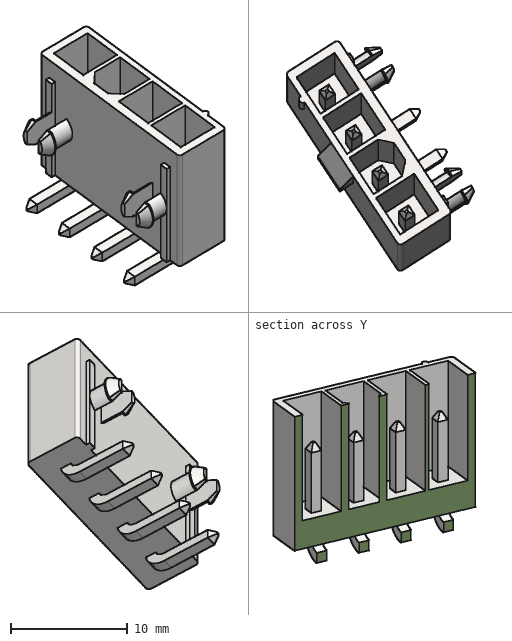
import cadquery as cq
import math

OVERALL_HEIGHT = 14.4
BODY_WIDTH = 18.0
BODY_DEPTH = 5.4
BODY_HEIGHT = 12.73
CORNER_RADIUS = 0.35
BACK_Y = BODY_DEPTH / 2
MOUNT_Y = -BODY_DEPTH / 2

PIN_COUNT = 4
PIN_PITCH = 4.2
PIN_X = [(i - (PIN_COUNT - 1) / 2) * PIN_PITCH for i in range(PIN_COUNT)]
PIN_SIZE = 1.0
PIN_TIP_SIZE = 0.25
PIN_TIP_LENGTH = 0.7
PIN_Y = BACK_Y - 2.52
PIN_TOP_DEPTH = 3.6
PIN_DROP = OVERALL_HEIGHT - BODY_HEIGHT
PIN_REACH = 3.89
BEND_RADIUS = 1.5

CAVITY_WIDTH = 3.8
CAVITY_LENGTH = 3.9
CAVITY_BACK_WALL = 0.61
CAVITY_DEPTH = 10.0
KEYED_CAVITY = 1
KEY_CHAMFER = 0.99

PEG_X = [PIN_X[0], PIN_X[-1]]
PEG_Z = BODY_HEIGHT - 6.57
PEG_RADIUS = 1.5
PEG_SHAFT_LENGTH = 2.15
PEG_SLOT = 1.48
HEAD_RADIUS = 1.78
HEAD_LIP = 0.13
HEAD_TAPER_LENGTH = 0.97
HEAD_TAPER_INSET = 0.58
HEAD_HALF_HEIGHT = math.sqrt(PEG_RADIUS**2 - (PEG_SLOT / 2) ** 2)
HEAD_TIP_Y = MOUNT_Y - PEG_SHAFT_LENGTH - HEAD_LIP - HEAD_TAPER_LENGTH

RIB_WIDTH = PEG_RADIUS - PEG_SLOT / 2
RIB_THICKNESS = 0.4
RIB_HEIGHT = BODY_HEIGHT - 2.02
RIB_X = PEG_X[-1] + PEG_SLOT / 2 + RIB_WIDTH / 2

LATCH_WIDTH = 3.5
LATCH_REACH = 1.4
LATCH_RAMP_DROP = 2.12
LATCH_ROOT_DROP = 3.05
LATCH_TIP_DROP = 3.13
BEAD_RADIUS = 0.3
BEAD_LENGTH = LATCH_TIP_DROP

EMBED = 0.18


def make_housing():
    body = cq.Workplane("XY").box(BODY_WIDTH, BODY_DEPTH, BODY_HEIGHT, centered=(True, True, False))
    body = body.edges("|Z").fillet(CORNER_RADIUS)
    cavity_y = BACK_Y - CAVITY_BACK_WALL - CAVITY_LENGTH / 2
    for index, x in enumerate(PIN_X):
        cavity = (
            cq.Workplane("XY", origin=(x, cavity_y, BODY_HEIGHT - CAVITY_DEPTH))
            .rect(CAVITY_WIDTH, CAVITY_LENGTH)
            .extrude(CAVITY_DEPTH)
        )
        if index == KEYED_CAVITY:
            cavity = cavity.edges("|Z and <Y").chamfer(KEY_CHAMFER)
        body = body.cut(cavity)
    return body


def make_pin_tip(plane):
    """Blunt square pyramid rising along the plane normal."""
    return (
        cq.Workplane(plane)
        .rect(PIN_SIZE, PIN_SIZE)
        .workplane(offset=PIN_TIP_LENGTH)
        .rect(PIN_TIP_SIZE, PIN_TIP_SIZE)
        .loft()
    )


def make_pin(x):
    """Right-angle contact: upright leg, bend, and tail toward -Y, pointed at both ends."""
    tail_z = PIN_SIZE / 2 - PIN_DROP
    leg_end_z = BODY_HEIGHT - PIN_TOP_DEPTH - PIN_TIP_LENGTH
    tail_end_y = MOUNT_Y - PIN_REACH + PIN_TIP_LENGTH
    bend_z = tail_z + BEND_RADIUS
    bend_y = PIN_Y - BEND_RADIUS
    mid = BEND_RADIUS * math.sqrt(0.5)
    path = (
        cq.Workplane("YZ", origin=(x, 0, 0))
        .moveTo(PIN_Y, leg_end_z)
        .lineTo(PIN_Y, bend_z)
        .threePointArc((bend_y + mid, bend_z - mid), (bend_y, tail_z))
        .lineTo(tail_end_y, tail_z)
    )
    wire = cq.Workplane("XY", origin=(x, PIN_Y, leg_end_z)).rect(PIN_SIZE, PIN_SIZE).sweep(path)
    mating_tip = make_pin_tip(cq.Plane((x, PIN_Y, leg_end_z), (1, 0, 0), (0, 0, 1)))
    tail_tip = make_pin_tip(cq.Plane((x, tail_end_y, tail_z), (1, 0, 0), (0, -1, 0)))
    return wire.union(mating_tip).union(tail_tip)


def make_peg(x):
    root_y = MOUNT_Y + EMBED
    head_y = MOUNT_Y - PEG_SHAFT_LENGTH
    taper_y = head_y - HEAD_LIP
    profile = (
        cq.Workplane("XY")
        .moveTo(0, root_y)
        .lineTo(PEG_RADIUS, root_y)
        .lineTo(PEG_RADIUS, head_y)
        .lineTo(HEAD_RADIUS, head_y)
        .lineTo(HEAD_RADIUS, taper_y)
        .lineTo(HEAD_RADIUS - HEAD_TAPER_INSET, HEAD_TIP_Y)
        .lineTo(0, HEAD_TIP_Y)
        .close()
    )
    peg = profile.revolve(360, (0, 0, 0), (0, 1, 0))

    tip_half_height = HEAD_HALF_HEIGHT - HEAD_TAPER_INSET
    envelope = (
        cq.Workplane("YZ")
        .polyline([
            (root_y, HEAD_HALF_HEIGHT),
            (taper_y, HEAD_HALF_HEIGHT),
            (HEAD_TIP_Y, tip_half_height),
            (HEAD_TIP_Y, -tip_half_height),
            (taper_y, -HEAD_HALF_HEIGHT),
            (root_y, -HEAD_HALF_HEIGHT),
        ])
        .close()
        .extrude(HEAD_RADIUS, both=True)
    )
    slot_length = MOUNT_Y - HEAD_TIP_Y
    slot = cq.Workplane("XY").box(PEG_SLOT, slot_length, 2 * HEAD_RADIUS)
    slot = slot.translate((0, MOUNT_Y - slot_length / 2, 0))
    return peg.intersect(envelope).cut(slot).translate((x, 0, PEG_Z))


def make_rib(x):
    thickness = RIB_THICKNESS + EMBED
    rib = cq.Workplane("XY").box(RIB_WIDTH, thickness, RIB_HEIGHT, centered=(True, False, False))
    return rib.translate((x, MOUNT_Y - RIB_THICKNESS, 0))


def make_latch():
    outer_y = BACK_Y + LATCH_REACH
    inner_y = BACK_Y - EMBED
    return (
        cq.Workplane("YZ")
        .polyline([
            (inner_y, BODY_HEIGHT),
            (BACK_Y, BODY_HEIGHT),
            (outer_y, BODY_HEIGHT - LATCH_RAMP_DROP),
            (outer_y, BODY_HEIGHT - LATCH_TIP_DROP),
            (BACK_Y, BODY_HEIGHT - LATCH_ROOT_DROP),
            (inner_y, BODY_HEIGHT - LATCH_ROOT_DROP),
        ])
        .close()
        .extrude(LATCH_WIDTH / 2, both=True)
    )


def make_bead():
    bead = cq.Workplane("XY", origin=(PIN_X[-1], BACK_Y, BODY_HEIGHT))
    return bead.circle(BEAD_RADIUS).extrude(-BEAD_LENGTH)


result = make_housing().union(make_latch()).union(make_bead())
for rib_x in (-RIB_X, RIB_X):
    result = result.union(make_rib(rib_x))
for peg_x in PEG_X:
    result = result.union(make_peg(peg_x))
for pin_x in PIN_X:
    result = result.union(make_pin(pin_x))